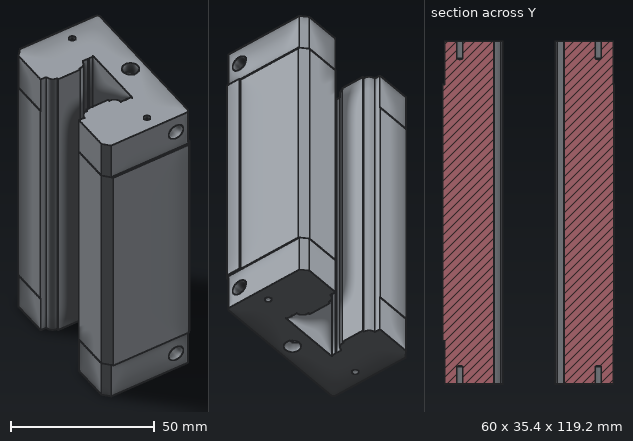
import cadquery as cq
import math


length = 119.2
cap_length = 15.0
body_length = length - 2 * cap_length
body_width = 60.0
body_height = 35.35
cap_width = 58.6
cap_underside = 0.1
cap_top = 34.85

foot_half_width = 26.7
foot_angle = 42.0
body_shoulder_bevel = 1.2
cap_shoulder_radius = 1.2

relief_depth = 0.4
reference_edge_drop = 6.5

channel_half_width = 12.3
channel_top = 21.9
undercut = 0.4
undercut_height = 0.4
ridge_height = 0.3
ridge_y = 19.8
jaw_half_gap = 9.1
jaw_bottom = 5.2
jaw_top = 14.3
bead_half_gap = 9.75
bead_bottom = 2.4
bead_top = 17.4
flank_radius = 2.8

cross_hole_diameter = 6.0
port_diameter = 6.0
port_y = 29.3
cross_hole_inset = 7.0
screw_hole_diameter = 2.4
screw_hole_x = 24.05
screw_hole_y = 20.65
screw_hole_depth = 6.0
drill_point_angle = 118.0


def footed_block(width, underside, top, depth):
    """Block centred on Z with bevels beside its underside."""
    side = width / 2
    bevel_top = underside + (side - foot_half_width) * math.tan(math.radians(foot_angle))
    return (
        cq.Workplane("XY")
        .workplane(offset=-depth / 2)
        .moveTo(-foot_half_width, underside)
        .lineTo(foot_half_width, underside)
        .lineTo(side, bevel_top)
        .lineTo(side, top)
        .lineTo(-side, top)
        .lineTo(-side, bevel_top)
        .close()
        .extrude(depth)
    )


def side_relief():
    """Shallow step that leaves the reference edge standing proud on the -X side."""
    relief_top = body_height - reference_edge_drop
    outer = -body_width / 2
    inner = outer + relief_depth
    return (
        cq.Workplane("XY")
        .workplane(offset=-body_length / 2)
        .moveTo(outer, 0)
        .lineTo(inner, 0)
        .lineTo(inner, relief_top - relief_depth)
        .lineTo(outer, relief_top)
        .close()
        .extrude(body_length)
    )


def rail_channel():
    """Channel between two rounded jaws, drawn as the +X half and mirrored."""
    half = (
        cq.Workplane("XY")
        .workplane(offset=-length / 2)
        .moveTo(0, 0)
        .lineTo(channel_half_width, 0)
        .lineTo(channel_half_width, bead_bottom)
        .radiusArc((bead_half_gap, jaw_bottom), flank_radius)
        .lineTo(jaw_half_gap, jaw_bottom)
        .lineTo(jaw_half_gap, jaw_top)
        .lineTo(bead_half_gap, jaw_top)
        .radiusArc((channel_half_width, bead_top), flank_radius)
        .lineTo(channel_half_width, ridge_y - ridge_height)
        .lineTo(channel_half_width - ridge_height, ridge_y)
        .lineTo(channel_half_width, ridge_y + ridge_height)
        .lineTo(channel_half_width, channel_top - undercut_height)
        .lineTo(channel_half_width + undercut, channel_top)
        .lineTo(0, channel_top)
        .close()
        .extrude(length)
    )
    return half.union(half.mirror("YZ"))


def screw_hole(x):
    """Blind hole with a drill point, entering the +Z end face."""
    radius = screw_hole_diameter / 2
    point = radius / math.tan(math.radians(drill_point_angle / 2))
    return (
        cq.Workplane("XZ")
        .moveTo(0, 0)
        .lineTo(radius, 0)
        .lineTo(radius, -screw_hole_depth)
        .lineTo(0, -screw_hole_depth - point)
        .close()
        .revolve(360, (0, 0, 0), (0, 1, 0))
        .translate((x, screw_hole_y, length / 2))
    )


def cap_holes():
    """Holes of the +Z cap: a cross hole, the port that opens into it and two screw holes."""
    cross_hole = (
        cq.Workplane("YZ")
        .workplane(offset=-cap_width / 2)
        .center(port_y, length / 2 - cross_hole_inset)
        .circle(cross_hole_diameter / 2)
        .extrude(cap_width)
    )
    port = (
        cq.Workplane("XY")
        .workplane(offset=length / 2)
        .center(0, port_y)
        .circle(port_diameter / 2)
        .extrude(-cross_hole_inset)
    )
    holes = cross_hole.union(port)
    for x in (-screw_hole_x, screw_hole_x):
        holes = holes.union(screw_hole(x))
    return holes


body = footed_block(body_width, 0, body_height, body_length)
body = body.faces(">Y").edges("|Z").chamfer(body_shoulder_bevel).cut(side_relief())
caps = footed_block(cap_width, cap_underside, cap_top, length)
caps = caps.faces(">Y").edges("|Z").fillet(cap_shoulder_radius)
block = body.union(caps)
top_holes = cap_holes()
result = block.cut(rail_channel()).cut(top_holes).cut(top_holes.mirror("XY"))